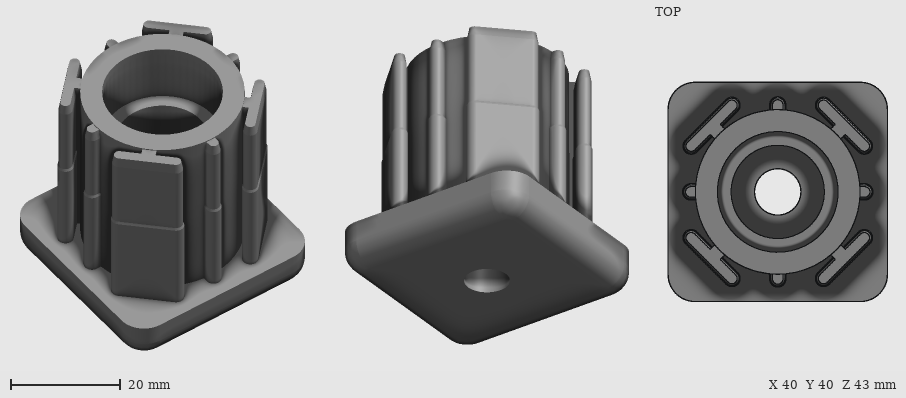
import cadquery as cq
import math

BASE_SIZE = 40.0
BASE_HEIGHT = 8.0
BASE_CORNER_RADIUS = 5.0
BASE_BOTTOM_FILLET = 4.0

TOTAL_HEIGHT = 43.0
SLEEVE_RADIUS = 15.0
BORE_RADIUS = 11.0
BORE_DEPTH = 12.0
LOWER_BORE_RADIUS = 8.5
LOWER_BORE_FLOOR = BASE_HEIGHT
BOLT_HOLE_RADIUS = 4.2

RIB_RADIUS = 1.5
RIB_REACH = 17.35
RIB_TOP_DROP = 0.2
RIB_TOP = TOTAL_HEIGHT - RIB_TOP_DROP
TIP_HEIGHT = 1.9
TIP_START = RIB_TOP - TIP_HEIGHT
STEP_TOP = 26.9
STEP_HEIGHT = 0.5
STEP_BOTTOM = STEP_TOP - STEP_HEIGHT
STEP_INSET = 0.2
TIP_INSET = 0.55
RIB_CENTRE = RIB_REACH - RIB_RADIUS

PAD_DISTANCE = 17.05
PAD_HALF_SPAN = 5.25
WEB_WIDTH = 2.6

RIB_COUNT = 4
RIB_SPACING = 360.0 / RIB_COUNT
PAD_START_ANGLE = RIB_SPACING / 2

RIB_LEVELS = [
    (BASE_HEIGHT, 0.0),
    (STEP_BOTTOM, 0.0),
    (STEP_TOP, STEP_INSET),
    (TIP_START, STEP_INSET),
    (RIB_TOP, TIP_INSET),
]


def make_base():
    base = cq.Workplane("XY").rect(BASE_SIZE, BASE_SIZE).extrude(BASE_HEIGHT)
    base = base.edges("|Z").fillet(BASE_CORNER_RADIUS)
    return base.faces("<Z").edges().fillet(BASE_BOTTOM_FILLET)


def cylinder(radius, bottom, top):
    return cq.Workplane("XY").workplane(offset=bottom).circle(radius).extrude(top - bottom)


def slot_section(start, end, radius, height):
    """Horizontal slot wire whose end arcs are centred on start and end."""
    length = math.dist(start, end)
    angle = math.degrees(math.atan2(end[1] - start[1], end[0] - start[0]))
    middle = ((start[0] + end[0]) / 2, (start[1] + end[1]) / 2)
    plane = cq.Workplane("XY").workplane(offset=height).center(*middle)
    return plane.slot2D(length + 2 * radius, 2 * radius, angle).val()


def make_stepped_slot(start, end):
    """Upright slot-shaped bar whose sides follow the inset levels of the ribs."""
    bar = None
    for (low, low_inset), (high, high_inset) in zip(RIB_LEVELS, RIB_LEVELS[1:]):
        lower = slot_section(start, end, RIB_RADIUS - low_inset, low)
        upper = slot_section(start, end, RIB_RADIUS - high_inset, high)
        piece = cq.Workplane(cq.Solid.makeLoft([lower, upper], True))
        bar = piece if bar is None else bar.union(piece)
    return bar


def make_rib():
    """Narrow rounded rib standing against the sleeve on the X axis."""
    return make_stepped_slot((SLEEVE_RADIUS - RIB_RADIUS, 0.0), (RIB_CENTRE, 0.0))


def make_pad():
    """Wide rounded pad held off the sleeve by a narrow web."""
    pad = make_stepped_slot((PAD_DISTANCE, -PAD_HALF_SPAN), (PAD_DISTANCE, PAD_HALF_SPAN))
    web_start = (BORE_RADIUS + SLEEVE_RADIUS) / 2
    web_length = PAD_DISTANCE - web_start
    web = cq.Workplane("XY").box(
        web_length, WEB_WIDTH, RIB_TOP - BASE_HEIGHT, centered=(False, True, False)
    )
    return pad.union(web.translate((web_start, 0, BASE_HEIGHT)))


def turned(shape, angle):
    return shape.rotate((0, 0, 0), (0, 0, 1), angle)


def make_body():
    body = make_base().union(cylinder(SLEEVE_RADIUS, BASE_HEIGHT, TOTAL_HEIGHT))
    rib = make_rib()
    pad = make_pad()
    for index in range(RIB_COUNT):
        angle = index * RIB_SPACING
        body = body.union(turned(rib, angle))
        body = body.union(turned(pad, PAD_START_ANGLE + angle))
    return body


def cut_bores(body):
    body = body.cut(cylinder(BORE_RADIUS, TOTAL_HEIGHT - BORE_DEPTH, TOTAL_HEIGHT))
    body = body.cut(cylinder(LOWER_BORE_RADIUS, LOWER_BORE_FLOOR, TOTAL_HEIGHT))
    return body.cut(cylinder(BOLT_HOLE_RADIUS, 0.0, TOTAL_HEIGHT))


result = cut_bores(make_body())